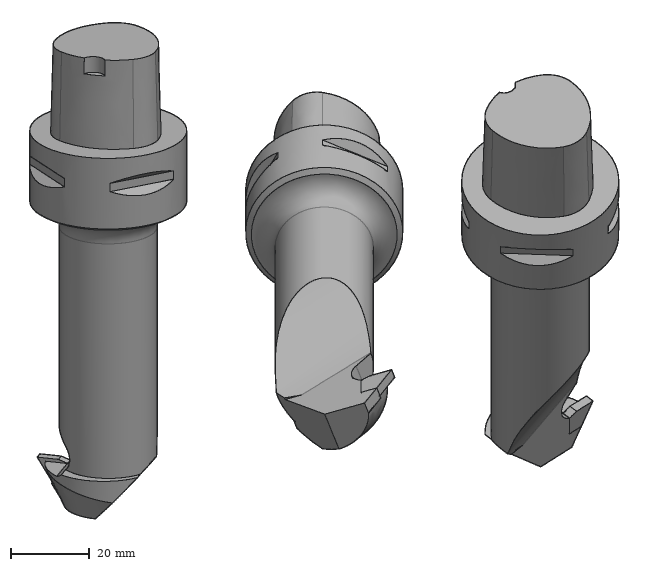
import cadquery as cq
import math


taper_height = 24.0
taper_draft = 0.6
lobe_reach = 14.8
side_reach = 13.3
lobe_center_distance = 5.9

notch_radius = 3.0
notch_depth = 4.3
notch_center_y = -13.8

flange_radius = 20.0
flange_height = 19.2
groove_count = 4
groove_z = -7.9
groove_floor_distance = 17.7
groove_floor_height = 2.3
groove_mouth_height = 5.8

shank_diameter = 25.0
shank_radius = shank_diameter / 2
fillet_radius = 6.0
fillet_start_z = -20.1

tip_z = -101.6
head_height = 11.7
ledge_z = tip_z + head_height
head_radius = 15.0
head_center_x = -1.19
cone_tip_radius = 11.3
cone_ledge_radius = 17.5
cone_tip_x = 0.0
cone_ledge_x = 1.0
flank_tip_x = -10.8
cutting_point_x = -18.1

clearance_z = -86.5
clearance_fall = 29.2
clearance_radius = 50.0
clearance_start = 12.6
clearance_end = 45.0

bevel_top_x = 12.5
bevel_top_z = -87.7
bevel_tip_x = -0.1

pocket_center_x = -11.5
pocket_center_z = -86.8
pocket_radius = 4.3
pocket_floor_drop = 0.9
pocket_floor_z = ledge_z - pocket_floor_drop

insert_thickness = 2.5
support_thickness = 3.3
insert_height = 6.4
seat_z = ledge_z - insert_height
insert_flat_end_x = -12.4
insert_back_x = -9.9

margin = 50.2


def polar(distance, angle):
    return (distance * math.cos(math.radians(angle)), distance * math.sin(math.radians(angle)))


def flank_x(z):
    return flank_tip_x + (cutting_point_x - flank_tip_x) * (z - tip_z) / head_height


def make_taper():
    twice_gap = 2 * (lobe_reach - side_reach)
    side_center_distance = (twice_gap * lobe_center_distance - (twice_gap / 2) ** 2) / (
        lobe_center_distance - twice_gap
    )
    lobe_radius = lobe_reach - lobe_center_distance
    side_x, side_y = polar(side_center_distance, 240)
    tangent_angle = math.atan2(-side_y, lobe_center_distance - side_x)
    joint_x = lobe_center_distance + lobe_radius * math.cos(tangent_angle)
    joint_y = lobe_radius * math.sin(tangent_angle)
    joint_distance = math.hypot(joint_x, joint_y)
    joint_angle = math.degrees(math.atan2(joint_y, joint_x))

    outline = cq.Workplane("XY").moveTo(*polar(joint_distance, 90 - joint_angle))
    for lobe_angle in (90, 210, 330):
        outline = outline.threePointArc(
            polar(lobe_reach, lobe_angle), polar(joint_distance, lobe_angle + joint_angle)
        )
        outline = outline.threePointArc(
            polar(side_reach, lobe_angle + 60), polar(joint_distance, lobe_angle + 120 - joint_angle)
        )
    draft_angle = math.degrees(math.atan2(taper_draft, taper_height))
    taper = outline.close().extrude(taper_height, taper=draft_angle)
    notch = (
        cq.Workplane("XY", origin=(0, notch_center_y, taper_height - notch_depth))
        .circle(notch_radius)
        .extrude(notch_depth)
    )
    return taper.cut(notch)


def make_turned_body():
    fillet_edge = shank_radius + fillet_radius
    fillet_end_z = fillet_start_z - fillet_radius
    arc_offset = fillet_radius * math.sqrt(0.5)
    return (
        cq.Workplane("XZ")
        .lineTo(flange_radius, 0)
        .lineTo(flange_radius, -flange_height)
        .lineTo(fillet_edge, fillet_start_z)
        .threePointArc((fillet_edge - arc_offset, fillet_end_z + arc_offset), (shank_radius, fillet_end_z))
        .lineTo(shank_radius, ledge_z)
        .lineTo(0, ledge_z)
        .close()
        .revolve(360, (0, 0, 0), (0, 1, 0))
    )


def make_gripper_groove(angle):
    depth = flange_radius - groove_floor_distance
    half_floor = groove_floor_height / 2
    half_mouth = groove_mouth_height / 2
    half_outer = 2 * half_mouth - half_floor
    groove = (
        cq.Workplane("XZ")
        .moveTo(groove_floor_distance, groove_z - half_floor)
        .lineTo(groove_floor_distance + 2 * depth, groove_z - half_outer)
        .lineTo(groove_floor_distance + 2 * depth, groove_z + half_outer)
        .lineTo(groove_floor_distance, groove_z + half_floor)
        .close()
        .extrude(flange_radius, both=True)
    )
    return groove.rotate((0, 0, 0), (0, 0, 1), angle)


def make_head():
    cylinder = (
        cq.Workplane("XY", origin=(head_center_x, 0, tip_z)).circle(head_radius).extrude(head_height)
    )
    cone = (
        cq.Workplane("XY", origin=(0, 0, tip_z))
        .center(cone_tip_x, 0)
        .circle(cone_tip_radius)
        .workplane(offset=head_height)
        .center(cone_ledge_x - cone_tip_x, 0)
        .circle(cone_ledge_radius)
        .loft(ruled=True)
    )
    flank_side = (
        cq.Workplane("XZ")
        .moveTo(flank_tip_x, tip_z)
        .lineTo(cutting_point_x, ledge_z)
        .lineTo(margin, ledge_z)
        .lineTo(margin, tip_z)
        .close()
        .extrude(margin)
    )
    return cylinder.intersect(cone).intersect(flank_side)


def make_insert_support():
    return (
        cq.Workplane("XZ")
        .moveTo(flank_tip_x, tip_z)
        .lineTo(flank_x(seat_z), seat_z)
        .lineTo(insert_back_x, seat_z)
        .lineTo(insert_back_x, tip_z)
        .close()
        .extrude(support_thickness)
    )


def make_clearance_cut():
    fall = math.radians(clearance_fall)
    ridge = cq.Plane(
        origin=(0, 0, clearance_z), xDir=(0, 1, 0), normal=(math.cos(fall), 0, -math.sin(fall))
    )
    start_x, start_y = polar(clearance_radius, 180 - clearance_start)

    def arc_point(angle):
        arc_x, arc_y = polar(clearance_radius, 180 - angle)
        return (arc_x - start_x, arc_y - start_y)

    middle = (clearance_start + clearance_end) / 2
    end_point = arc_point(clearance_end)
    return (
        cq.Workplane(ridge)
        .threePointArc(arc_point(middle), end_point)
        .lineTo(end_point[0], -margin)
        .lineTo(0, -margin)
        .close()
        .extrude(margin, both=True)
    )


def make_bevel_cut():
    slope_x = bevel_top_x - bevel_tip_x
    slope_z = bevel_top_z - tip_z
    return (
        cq.Workplane("XZ")
        .moveTo(bevel_tip_x - slope_x, tip_z - slope_z)
        .lineTo(bevel_top_x + slope_x, bevel_top_z + slope_z)
        .lineTo(bevel_top_x + slope_x, tip_z - slope_z)
        .close()
        .extrude(margin, both=True)
    )


def make_chip_pocket():
    tangent_offset = pocket_radius * math.sqrt(0.5)
    roof_x = pocket_center_x + tangent_offset
    roof_z = pocket_center_z + tangent_offset
    center_height = pocket_center_z - pocket_floor_z
    floor_x = pocket_center_x + math.sqrt(pocket_radius**2 - center_height**2)
    return (
        cq.Workplane("XZ")
        .moveTo(roof_x, roof_z)
        .threePointArc((pocket_center_x + pocket_radius, pocket_center_z), (floor_x, pocket_floor_z))
        .lineTo(roof_x - margin, pocket_floor_z)
        .lineTo(roof_x - margin, roof_z + margin)
        .close()
        .extrude(margin, both=True)
    )


def make_insert():
    return (
        cq.Workplane("XZ")
        .moveTo(cutting_point_x, ledge_z)
        .lineTo(insert_flat_end_x, ledge_z)
        .lineTo(insert_back_x, pocket_floor_z)
        .lineTo(insert_back_x, seat_z)
        .lineTo(flank_x(seat_z), seat_z)
        .close()
        .extrude(insert_thickness)
    )


def make_holder(insert):
    holder = make_turned_body().union(make_taper()).union(make_head()).union(make_insert_support())
    for index in range(groove_count):
        holder = holder.cut(make_gripper_groove(45 + index * 360 / groove_count))
    holder = holder.cut(make_clearance_cut()).cut(make_bevel_cut()).cut(make_chip_pocket())
    return holder.cut(insert)


insert = make_insert()
holder = make_holder(insert)
result = cq.Compound.makeCompound([holder.solids().val(), insert.val()])